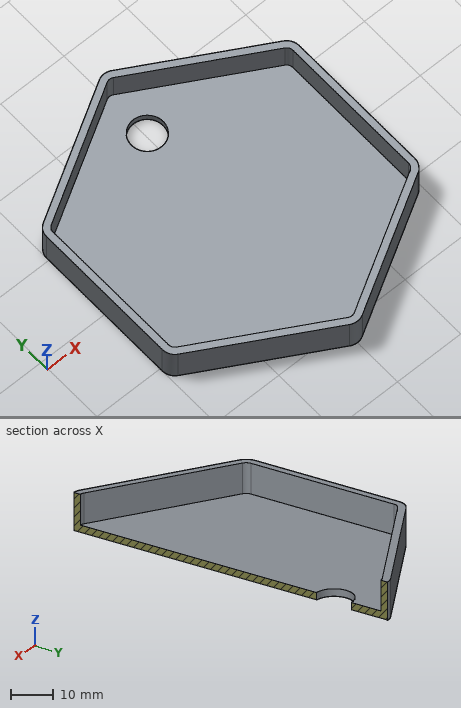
import cadquery as cq
import math

width_across_flats = 80.0
height = 10.0
corner_radius = 4.0
wall_thickness = 2.0
floor_thickness = 2.0
hole_diameter = 10.0
hole_center_y = 30.0


def hexagonal_prism(across_flats, prism_height, edge_radius):
    """Hexagonal prism with corners on the Y axis and rounded vertical edges."""
    across_corners = across_flats / math.cos(math.radians(30))
    return (
        cq.Workplane("XY")
        .transformed(rotate=(0, 0, 90))
        .polygon(6, across_corners)
        .extrude(prism_height)
        .edges("|Z")
        .fillet(edge_radius)
    )


body = hexagonal_prism(width_across_flats, height, corner_radius)

pocket = hexagonal_prism(
    width_across_flats - 2 * wall_thickness,
    height - floor_thickness,
    corner_radius - wall_thickness,
).translate((0, 0, floor_thickness))

floor_hole = (
    cq.Workplane("XY")
    .center(0, hole_center_y)
    .circle(hole_diameter / 2)
    .extrude(floor_thickness)
)

result = body.cut(pocket).cut(floor_hole)